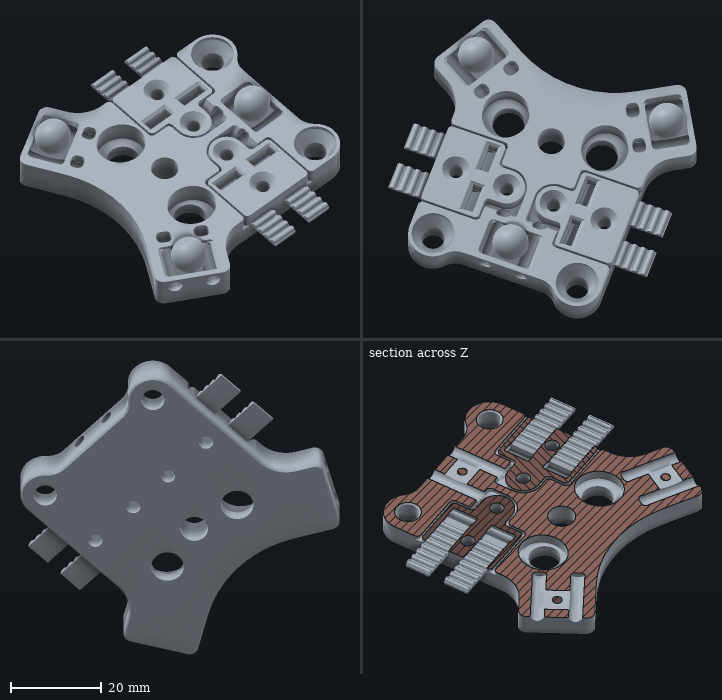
import cadquery as cq
import math

PLATE_THICKNESS = 8.0
BOTTOM_CHAMFER = 0.4

SEAT_ANGLES = (90, 210, 330)
ARM_SLOPE = 30
SEAT_CIRCLE_RADIUS = 26.0
BALL_RADIUS = 4.0
BALL_TOP_Z = 13.19
BALL_CENTER_Z = BALL_TOP_Z - BALL_RADIUS
BALL_CLEARANCE = 0.1

DOWEL_RADIUS = 1.5
DOWEL_BORE_DIAMETER = 3.1
DOWEL_HALF_SPACING = 4.24
DOWEL_Z = BALL_CENTER_Z - math.sqrt((BALL_RADIUS + DOWEL_RADIUS) ** 2 - DOWEL_HALF_SPACING**2)
DOWEL_BORE_START = 18.5

SEAT_POCKET_WIDTH = 11.2
SEAT_POCKET_CHAMFER = 0.7
SEAT_POCKET_LENGTH = 8.5
SEAT_POCKET_CORNER = 1.0
EJECT_SLOT_WIDTH = 3.4
EJECT_SLOT_LENGTH = 3.0
EJECT_SLOT_CORNER = 1.2
EJECT_SLOT_CENTER = 19.0

ARM_END = 31.5
ARM_HALF_WIDTH = 8.5
ARM_CORNER_RADIUS = 2.0
SIDE_X = 22.5
SIDE_FILLET_RADIUS = 8.0
FRONT_ARC_RADIUS = 27.0
EAR_X = 17.0
EAR_Y = 29.5
EAR_RADIUS = SIDE_X - EAR_X
EAR_FILLET_RADIUS = 5.0

CENTER_HOLE_DIAMETER = 6.1
EAR_HOLE_DIAMETER = 5.1
EAR_SINK_DIAMETER = 9.5
EAR_SINK_RECESS = 0.8
MOUNT_HOLE_X = 11.0
MOUNT_Y = -2.5
MOUNT_HOLE_DIAMETER = 7.2
MOUNT_POCKET_X = 11.7
MOUNT_POCKET_RADIUS_X = 5.25
MOUNT_POCKET_RADIUS_Y = 5.55
MOUNT_POCKET_DEPTH = 5.0

CLAMP_Y = 13.5
CLAMP_HALF_LENGTH = 9.25
CLAMP_INNER_X = 9.0
CLAMP_FLOOR_Z = 4.5
CLAMP_HEIGHT = PLATE_THICKNESS - CLAMP_FLOOR_Z
CLAMP_TAB_RADIUS = 4.0
CLAMP_CORNER = 1.0
CLAMP_GAP = 0.5
RAMP_TOP_Y = 20.0
TAB_X = 5.5
SCREW_XS = (TAB_X, 17.5)
SCREW_HOLE_DIAMETER = 3.1
SCREW_SINK_DIAMETER = 6.1
WINDOW_INNER_X = 10.55
WINDOW_OUTER_X = 12.75
WINDOW_LENGTH = 6.3
WINDOW_CHAMFER = 0.5
WINDOW_OUTER_CHAMFER = 0.75
SCOOP_START_X = 11.1
SCOOP_END_X = 13.0
SCOOP_DEPTH = 1.3
SCOOP_RADIUS = 4.0

BELT_OFFSET_Y = 5.0
BELT_WIDTH = 6.0
BELT_BACK_Z = 4.0
BELT_BACK_THICKNESS = 0.63
BELT_TOOTH_HEIGHT = 0.75
BELT_PITCH = 2.0
BELT_TOOTH_BASE = 1.5
BELT_TOOTH_SHOULDER = 1.2
BELT_TOOTH_SHOULDER_HEIGHT = 0.4
BELT_OUTER_X = 30.5
BELT_INNER_X = SCOOP_END_X
BELT_FIRST_TOOTH = 0.9
BELT_TOP_Z = BELT_BACK_Z + BELT_BACK_THICKNESS + BELT_TOOTH_HEIGHT


def polar(radius, angle):
    """Point at a distance and an angle in degrees."""
    return radius * math.cos(math.radians(angle)), radius * math.sin(math.radians(angle))


def along_arm(out, across):
    """Point of the right-hand arm: distance out along it and distance to its left."""
    out_x, out_y = polar(out, -ARM_SLOPE)
    across_x, across_y = polar(across, 90 - ARM_SLOPE)
    return out_x + across_x, out_y + across_y


def arc_point(center, radius, angle):
    """Point of a circle at an angle in degrees."""
    x, y = polar(radius, angle)
    return center[0] + x, center[1] + y


def rounded_block(center, base_z, top_z, length, width, corner):
    """Upright block with rounded vertical corners."""
    return (
        cq.Workplane("XY", origin=(*center, base_z))
        .rect(length, width)
        .extrude(top_z - base_z)
        .edges("|Z")
        .fillet(corner)
    )


def mirrored(shape):
    """Left-hand twin of a cutter or half."""
    return shape.mirror("YZ")


def turned(shape):
    """Opposite clamp or belt, turned half way round the axis between the two clamps."""
    return shape.rotate((0, CLAMP_Y, 0), (0, CLAMP_Y, 1), 180)


def plate_half():
    """Right half of the plate, bounded by the plane x = 0."""
    ear_center = (EAR_X, EAR_Y)
    fillet_y = ARM_END + EAR_FILLET_RADIUS
    fillet_x = EAR_X - math.sqrt((EAR_RADIUS + EAR_FILLET_RADIUS) ** 2 - (fillet_y - EAR_Y) ** 2)
    fillet_center = (fillet_x, fillet_y)
    fillet_end_angle = math.degrees(math.atan2(EAR_Y - fillet_y, EAR_X - fillet_x))

    slope = math.radians(ARM_SLOPE)
    side_corner_y = (ARM_HALF_WIDTH - SIDE_X * math.sin(slope)) / math.cos(slope)
    side_start_y = side_corner_y + SIDE_FILLET_RADIUS * math.tan(slope)
    side_center = (SIDE_X + SIDE_FILLET_RADIUS, side_start_y)

    front_center = (0, -(ARM_HALF_WIDTH + FRONT_ARC_RADIUS) / math.cos(slope))
    front_start_angle = 90 - ARM_SLOPE

    half = (
        cq.Workplane("XY")
        .moveTo(0, ARM_END)
        .lineTo(fillet_x, ARM_END)
        .threePointArc(
            arc_point(fillet_center, EAR_FILLET_RADIUS, (fillet_end_angle - 90) / 2),
            arc_point(fillet_center, EAR_FILLET_RADIUS, fillet_end_angle),
        )
        .threePointArc(arc_point(ear_center, EAR_RADIUS, 45), (SIDE_X, EAR_Y))
        .lineTo(SIDE_X, side_start_y)
        .threePointArc(
            arc_point(side_center, SIDE_FILLET_RADIUS, 180 + (90 - ARM_SLOPE) / 2),
            arc_point(side_center, SIDE_FILLET_RADIUS, 270 - ARM_SLOPE),
        )
        .lineTo(*along_arm(ARM_END, ARM_HALF_WIDTH))
        .lineTo(*along_arm(ARM_END, -ARM_HALF_WIDTH))
        .lineTo(*arc_point(front_center, FRONT_ARC_RADIUS, front_start_angle))
        .threePointArc(
            arc_point(front_center, FRONT_ARC_RADIUS, (front_start_angle + 90) / 2),
            arc_point(front_center, FRONT_ARC_RADIUS, 90),
        )
        .close()
        .extrude(PLATE_THICKNESS)
    )
    for across in (ARM_HALF_WIDTH, -ARM_HALF_WIDTH):
        x, y = along_arm(ARM_END, across)
        half = half.edges(cq.NearestToPointSelector((x, y, PLATE_THICKNESS / 2))).fillet(ARM_CORNER_RADIUS)
    return half


def plate_blank():
    half = plate_half()
    return half.union(mirrored(half)).faces("<Z").chamfer(BOTTOM_CHAMFER)


def seat_pocket():
    """Pocket of a ball seat on an arm along +X: sloped ends and a floor hollowed under the ball."""
    center = (SEAT_CIRCLE_RADIUS, 0)
    inner_edge = SEAT_CIRCLE_RADIUS - SEAT_POCKET_LENGTH / 2
    outer_edge = SEAT_CIRCLE_RADIUS + SEAT_POCKET_LENGTH / 2
    pocket = rounded_block(
        center, DOWEL_Z, PLATE_THICKNESS, SEAT_POCKET_LENGTH, SEAT_POCKET_WIDTH, SEAT_POCKET_CORNER
    )
    half_top = SEAT_POCKET_WIDTH / 2 + SEAT_POCKET_CHAMFER
    half_base = SEAT_POCKET_WIDTH / 2
    slope_base_z = PLATE_THICKNESS - SEAT_POCKET_CHAMFER
    flared = (
        cq.Workplane("YZ", origin=(inner_edge, 0, 0))
        .polyline(
            [
                (-half_top, PLATE_THICKNESS),
                (-half_base, slope_base_z),
                (half_base, slope_base_z),
                (half_top, PLATE_THICKNESS),
            ]
        )
        .close()
        .extrude(SEAT_POCKET_LENGTH)
    )
    mouth = rounded_block(
        center, slope_base_z, PLATE_THICKNESS, SEAT_POCKET_LENGTH, 2 * half_top, SEAT_POCKET_CORNER
    )
    floor_z = BALL_CENTER_Z - BALL_RADIUS - BALL_CLEARANCE
    hollow = (
        cq.Workplane("XZ", origin=(0, DOWEL_HALF_SPACING, 0))
        .moveTo(inner_edge, DOWEL_Z)
        .threePointArc((SEAT_CIRCLE_RADIUS, floor_z), (outer_edge, DOWEL_Z))
        .close()
        .extrude(2 * DOWEL_HALF_SPACING)
    )
    return pocket.union(flared.intersect(mouth)).union(hollow)


def dowel_bore(across):
    """Dowel bore from the arm's end, with the slot at its blind end for pushing the dowel out."""
    slot_start = EJECT_SLOT_CENTER - EJECT_SLOT_LENGTH / 2
    bore = (
        cq.Workplane("YZ", origin=(DOWEL_BORE_START, across, DOWEL_Z))
        .circle(DOWEL_BORE_DIAMETER / 2)
        .extrude(ARM_END - DOWEL_BORE_START)
    )
    slot_column = rounded_block(
        (EJECT_SLOT_CENTER, across),
        0,
        PLATE_THICKNESS,
        EJECT_SLOT_LENGTH,
        EJECT_SLOT_WIDTH,
        EJECT_SLOT_CORNER,
    )
    slot_bottom = (
        cq.Workplane("YZ", origin=(slot_start, across, DOWEL_Z))
        .circle(EJECT_SLOT_WIDTH / 2)
        .extrude(DOWEL_BORE_START - slot_start)
    )
    above_axis = (
        cq.Workplane("XY", origin=(EJECT_SLOT_CENTER, across, DOWEL_Z))
        .rect(EJECT_SLOT_LENGTH, EJECT_SLOT_WIDTH)
        .extrude(PLATE_THICKNESS - DOWEL_Z)
    )
    return bore.union(slot_column.intersect(slot_bottom.union(above_axis)))


def seat_cut():
    """Everything removed for one ball seat on an arm along +X."""
    return seat_pocket().union(dowel_bore(-DOWEL_HALF_SPACING)).union(dowel_bore(DOWEL_HALF_SPACING))


def countersunk(diameter, sink_diameter, recess, depth, x, y):
    """Cutter for a 90 degree countersunk hole that starts at the plate's top."""
    sink = sink_diameter / 2
    hole = diameter / 2
    cone_end = recess + sink - hole
    profile = [(0, 0), (sink, 0)]
    if recess > 0:
        profile.append((sink, -recess))
    profile += [(hole, -cone_end), (hole, -depth), (0, -depth)]
    return (
        cq.Workplane("XZ")
        .polyline(profile)
        .close()
        .revolve(360, (0, 0, 0), (0, 1, 0))
        .translate((x, y, PLATE_THICKNESS))
    )


def clamp_blank(gap):
    """Right-hand clamp shape grown by a gap: a block with a rounded tab toward the middle."""
    inner_x = CLAMP_INNER_X - gap
    half = CLAMP_HALF_LENGTH + gap
    tab = CLAMP_TAB_RADIUS + gap
    blank = (
        cq.Workplane("XY", origin=(0, CLAMP_Y, CLAMP_FLOOR_Z))
        .moveTo(SIDE_X, half)
        .lineTo(inner_x, half)
        .lineTo(inner_x, tab)
        .lineTo(TAB_X, tab)
        .threePointArc((TAB_X - tab, 0), (TAB_X, -tab))
        .lineTo(inner_x, -tab)
        .lineTo(inner_x, -half)
        .lineTo(SIDE_X, -half)
        .close()
        .extrude(CLAMP_HEIGHT)
    )
    for y in (-half, -tab, tab, half):
        corner = cq.NearestToPointSelector((inner_x, CLAMP_Y + y, CLAMP_FLOOR_Z + CLAMP_HEIGHT / 2))
        blank = blank.edges("|Z").edges(corner).fillet(CLAMP_CORNER)
    return blank


def recess_cut():
    """Recess for the right-hand clamp, with a rounded mouth and a ramp behind the tab."""
    half = CLAMP_HALF_LENGTH + CLAMP_GAP
    inner_x = CLAMP_INNER_X - CLAMP_GAP
    tab = CLAMP_TAB_RADIUS + CLAMP_GAP
    cut = clamp_blank(CLAMP_GAP)
    for side in (1, -1):
        y = CLAMP_Y + side * half
        flare = (
            cq.Workplane("XY", origin=(0, 0, CLAMP_FLOOR_Z))
            .moveTo(SIDE_X - CLAMP_CORNER, y)
            .radiusArc((SIDE_X, y + side * CLAMP_CORNER), -side * CLAMP_CORNER)
            .lineTo(SIDE_X, y)
            .close()
            .extrude(CLAMP_HEIGHT)
        )
        cut = cut.union(flare)
    ramp = (
        cq.Workplane("YZ", origin=(TAB_X - tab, 0, 0))
        .moveTo(CLAMP_Y, CLAMP_FLOOR_Z)
        .lineTo(CLAMP_Y + tab, CLAMP_FLOOR_Z)
        .lineTo(RAMP_TOP_Y, PLATE_THICKNESS)
        .lineTo(CLAMP_Y, PLATE_THICKNESS)
        .close()
        .extrude(inner_x - TAB_X + tab)
        .edges("<X").edges(">Y")
        .fillet(CLAMP_CORNER)
    )
    return cut.union(ramp)


def belt_ys():
    return CLAMP_Y - BELT_OFFSET_Y, CLAMP_Y + BELT_OFFSET_Y


def belt_channel(y):
    """Straight channel for a right-hand belt, from its inner end out past the side."""
    return (
        cq.Workplane("XY", origin=(0, 0, BELT_BACK_Z))
        .moveTo(BELT_INNER_X, y - BELT_WIDTH / 2)
        .lineTo(BELT_OUTER_X, y - BELT_WIDTH / 2)
        .lineTo(BELT_OUTER_X, y + BELT_WIDTH / 2)
        .lineTo(BELT_INNER_X, y + BELT_WIDTH / 2)
        .close()
        .extrude(BELT_TOP_Z - BELT_BACK_Z)
    )


def belt_scoop(y):
    """Hollow in the recess floor under a window, rising in an arc toward the middle."""
    return (
        cq.Workplane("XZ", origin=(0, y + BELT_WIDTH / 2, 0))
        .moveTo(SCOOP_START_X, CLAMP_FLOOR_Z)
        .lineTo(SCOOP_END_X, CLAMP_FLOOR_Z)
        .lineTo(SCOOP_END_X, CLAMP_FLOOR_Z - SCOOP_DEPTH)
        .radiusArc((SCOOP_START_X, CLAMP_FLOOR_Z), SCOOP_RADIUS)
        .close()
        .extrude(BELT_WIDTH)
    )


def mounting_cut():
    """Through hole under an oval pocket."""
    hole = (
        cq.Workplane("XY")
        .center(MOUNT_HOLE_X, MOUNT_Y)
        .circle(MOUNT_HOLE_DIAMETER / 2)
        .extrude(PLATE_THICKNESS)
    )
    pocket = (
        cq.Workplane("XY", origin=(MOUNT_POCKET_X, MOUNT_Y, PLATE_THICKNESS))
        .ellipse(MOUNT_POCKET_RADIUS_X, MOUNT_POCKET_RADIUS_Y)
        .extrude(-MOUNT_POCKET_DEPTH)
    )
    return hole.union(pocket)


def make_plate():
    plate = plate_blank()
    seat = seat_cut()
    for angle in SEAT_ANGLES:
        plate = plate.cut(seat.rotate((0, 0, 0), (0, 0, 1), angle))
    plate = plate.cut(cq.Workplane("XY").circle(CENTER_HOLE_DIAMETER / 2).extrude(PLATE_THICKNESS))
    screw_clearance = (
        cq.Workplane("XY")
        .pushPoints([(x, CLAMP_Y) for x in SCREW_XS])
        .circle(SCREW_HOLE_DIAMETER / 2)
        .extrude(PLATE_THICKNESS)
    )
    side_cuts = [
        countersunk(EAR_HOLE_DIAMETER, EAR_SINK_DIAMETER, EAR_SINK_RECESS, PLATE_THICKNESS, EAR_X, EAR_Y),
        mounting_cut(),
        recess_cut(),
        screw_clearance,
    ]
    side_cuts += [belt_channel(y) for y in belt_ys()]
    side_cuts += [belt_scoop(y) for y in belt_ys()]
    for cutter in side_cuts:
        plate = plate.cut(cutter).cut(mirrored(cutter))
    return plate


def belt_window(y):
    """Window over a belt's inner end, flared at the top and most of all on its outer side."""
    width = WINDOW_OUTER_X - WINDOW_INNER_X
    center_x = (WINDOW_OUTER_X + WINDOW_INNER_X) / 2
    mouth_shift = (WINDOW_OUTER_CHAMFER - WINDOW_CHAMFER) / 2
    shaft = (
        cq.Workplane("XY", origin=(center_x, y, CLAMP_FLOOR_Z))
        .rect(width, WINDOW_LENGTH)
        .extrude(CLAMP_HEIGHT)
    )
    flare = (
        cq.Workplane("XY", origin=(center_x, y, PLATE_THICKNESS - WINDOW_CHAMFER))
        .rect(width, WINDOW_LENGTH)
        .workplane(offset=WINDOW_CHAMFER)
        .center(mouth_shift, 0)
        .rect(width + WINDOW_CHAMFER + WINDOW_OUTER_CHAMFER, WINDOW_LENGTH + 2 * WINDOW_CHAMFER)
        .loft()
    )
    return shaft.union(flare)


def make_clamp():
    clamp = clamp_blank(0).edges("|Z and >X").fillet(CLAMP_CORNER)
    for x in SCREW_XS:
        clamp = clamp.cut(
            countersunk(SCREW_HOLE_DIAMETER, SCREW_SINK_DIAMETER, 0, PLATE_THICKNESS, x, CLAMP_Y)
        )
    for y in belt_ys():
        clamp = clamp.cut(belt_window(y)).cut(belt_channel(y))
    return clamp


def make_belt(y):
    """Right-hand toothed belt with its teeth up."""
    root = BELT_BACK_Z + BELT_BACK_THICKNESS
    shoulder = root + BELT_TOOTH_SHOULDER_HEIGHT
    start_y = y + BELT_WIDTH / 2
    belt = (
        cq.Workplane("XZ", origin=(0, start_y, 0))
        .moveTo(BELT_INNER_X, BELT_BACK_Z)
        .lineTo(BELT_OUTER_X, BELT_BACK_Z)
        .lineTo(BELT_OUTER_X, root)
        .lineTo(BELT_INNER_X, root)
        .close()
        .extrude(BELT_WIDTH)
    )
    tooth_room = BELT_OUTER_X - BELT_FIRST_TOOTH - BELT_TOOTH_BASE / 2 - BELT_INNER_X
    tooth_count = int(tooth_room / BELT_PITCH) + 1
    for i in range(tooth_count):
        tooth_x = BELT_OUTER_X - BELT_FIRST_TOOTH - i * BELT_PITCH
        tooth = (
            cq.Workplane("XZ", origin=(tooth_x, start_y, 0))
            .moveTo(-BELT_TOOTH_BASE / 2, root)
            .lineTo(-BELT_TOOTH_SHOULDER / 2, shoulder)
            .threePointArc((0, BELT_TOP_Z), (BELT_TOOTH_SHOULDER / 2, shoulder))
            .lineTo(BELT_TOOTH_BASE / 2, root)
            .close()
            .extrude(BELT_WIDTH)
        )
        belt = belt.union(tooth)
    return belt


def make_ball(angle):
    x, y = polar(SEAT_CIRCLE_RADIUS, angle)
    return cq.Workplane("XY").sphere(BALL_RADIUS).translate((x, y, BALL_CENTER_Z))


plate = make_plate()
clamp = make_clamp()
clamps = [clamp, turned(clamp)]
belts = []
for belt_y in belt_ys():
    belt = make_belt(belt_y)
    belts += [belt, turned(belt)]
balls = [make_ball(angle) for angle in SEAT_ANGLES]

result = cq.Compound.makeCompound([body.val() for body in [plate, *clamps, *belts, *balls]])